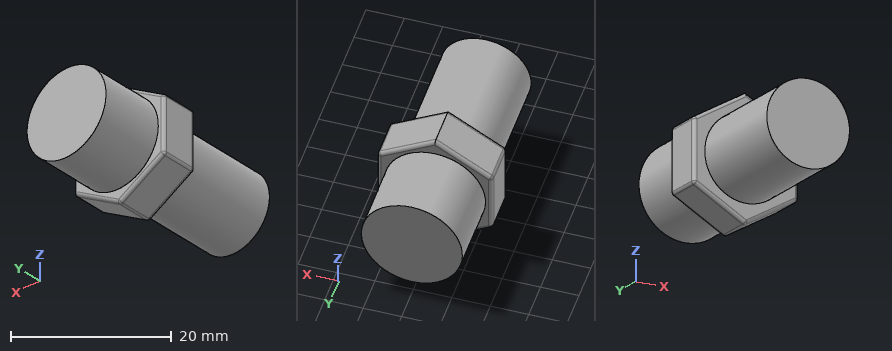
import cadquery as cq
import math

total_length = 31.4
front_length = 15.8
hex_length = 5.8
front_diameter = 11.8
rear_diameter = 13.15
across_flats = 15.0
edge_radius = 0.5

front_end = -total_length / 2
hex_front = front_end + front_length
hex_rear = hex_front + hex_length
rear_length = total_length - front_length - hex_length


def xz_plane_at(y):
    """Plane at the given Y, with its normal toward +Y."""
    return cq.Workplane(cq.Plane(origin=(0, y, 0), xDir=(0, 0, 1), normal=(0, 1, 0)))


def hex_collar():
    """Hexagon with corners up and down; every edge is rounded except the lengthwise top one."""
    across_corners = across_flats / math.cos(math.pi / 6)
    hexagon = xz_plane_at(hex_front).polygon(6, across_corners).extrude(hex_length)
    lengthwise_edges = hexagon.edges("|Y")
    top_edge = hexagon.edges("|Y").edges(">Z")
    rounded_sides = lengthwise_edges.newObject(
        [edge for edge in lengthwise_edges.vals() if not edge.isSame(top_edge.val())]
    ).fillet(edge_radius)
    return rounded_sides.faces("<Y or >Y").edges().fillet(edge_radius)


def shank(start, length, diameter):
    """Solid round shank running toward +Y."""
    return xz_plane_at(start).circle(diameter / 2).extrude(length)


front_shank = shank(front_end, front_length, front_diameter)
rear_shank = shank(hex_rear, rear_length, rear_diameter)
result = hex_collar().union(front_shank).union(rear_shank)